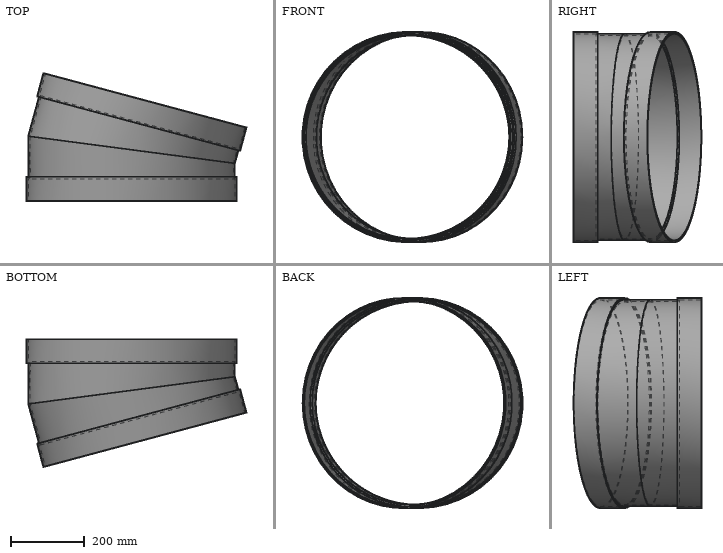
import cadquery as cq
import math

overall_width = 596.0
bend_angle = 15.0
collar_diameter = 570.0
pipe_diameter = 560.0
socket_diameter = pipe_diameter
bore_diameter = 550.0
collar_length = 65.5

bend = math.radians(bend_angle)
half_bend = bend / 2
collar_radius = collar_diameter / 2

socket_taper_length = (socket_diameter - bore_diameter) / 2
socket_depth = collar_length - socket_taper_length

leg_length = (overall_width - collar_radius * (1 + math.cos(bend))) / math.sin(bend)

mitre_normal = cq.Vector(math.sin(half_bend), math.cos(half_bend), 0)
mitre_plane = cq.Plane(
    origin=(0, leg_length, 0),
    xDir=(0, 0, 1),
    normal=mitre_normal.toTuple(),
)


def cylinder(diameter, length):
    """Solid cylinder from the lower end face along +Y."""
    end_face = cq.Plane(origin=(0, 0, 0), xDir=(1, 0, 0), normal=(0, 1, 0))
    return cq.Workplane(end_face).circle(diameter / 2).extrude(length)


def socket_taper():
    """Cone that narrows from the socket to the bore."""
    taper_start = cq.Vector(0, socket_depth, 0)
    cone = cq.Solid.makeCone(
        socket_diameter / 2,
        bore_diameter / 2,
        socket_taper_length,
        taper_start,
        cq.Vector(0, 1, 0),
    )
    return cq.Workplane(cone)


def make_pipe_section():
    """Lower pipe section, with an end socket, cut off on the mitre plane."""
    uncut_length = 2 * leg_length
    section = cylinder(pipe_diameter, uncut_length).union(cylinder(collar_diameter, collar_length))
    section = section.cut(cylinder(bore_diameter, uncut_length))
    section = section.cut(cylinder(socket_diameter, socket_depth)).cut(socket_taper())
    beyond_mitre = cq.Workplane(mitre_plane).circle(overall_width).extrude(uncut_length)
    return section.cut(beyond_mitre)


lower_section = make_pipe_section()
upper_section = make_pipe_section().mirror(mitre_normal, mitre_plane.origin.toTuple())

result = cq.Compound.makeCompound([lower_section.val(), upper_section.val()])